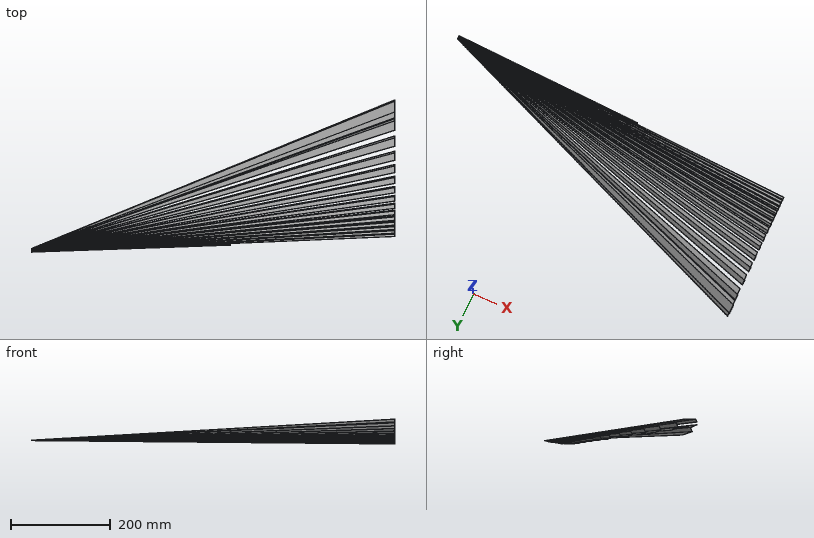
import cadquery as cq
import math


TIP_X = 20.0
LENGTH_END = 750.0
SHEET = 0.3

SLAT_COUNT = 15
SEPARATE_SLATS = 8
INNER_SPAN = 296.8
INNER_RATIO = 0.876
INNER_SHIFT = 14.3
ROW_SLOPE = 0.193
ROW_DROP = 11.05

PLATE_BASE = 2.6
PLATE_GROWTH = 0.068
WEB_RUN_BASE = 0.9
WEB_RUN_GROWTH = 0.0145
WEB_SLOPE = 2.06
LIP_SLOPE = 0.44
LIP_SHARE = 0.67
TILT_FIRST = 0.9
TILT_STEP = 0.62
TILT_GAIN = 0.03

LOWER_PROFILE = [(270.5, 27.8), (293.5, 26.7), (297.5, 18.0), (277.5, 11.0)]

OUTER_TRIM = 306.9 / LENGTH_END
BOTTOM_TRIM = -6.95 / LENGTH_END

SHORT_STRIP_END = 420.0
SHORT_STRIP_WIDTH = 4.0
SHORT_STRIP_TILT = 16.0
ROOT_LENGTH = 0.5
ROOT_OVERHANG = 11.3
TRIM_MARGIN = 50.0


def inner_edge(index):
    y = INNER_SPAN * INNER_RATIO**index - INNER_SHIFT
    return y, ROW_SLOPE * y - ROW_DROP


def tilted(start, width, slope):
    """Point reached from start by moving width along y on a line of the given slope."""
    return start[0] + width, start[1] + width * slope


def slat_profile(index):
    """Fold points at the wide end, from the plate's inner edge to the lip's free edge."""
    inner = inner_edge(index)
    tilt = TILT_FIRST + TILT_STEP * index + TILT_GAIN * index**2
    plate_width = PLATE_BASE + PLATE_GROWTH * inner[0]
    bend = tilted(inner, plate_width, -math.tan(math.radians(tilt)))
    heel = tilted(bend, WEB_RUN_BASE + WEB_RUN_GROWTH * inner[0], -WEB_SLOPE)
    lip_end = tilted(heel, -LIP_SHARE * plate_width, LIP_SLOPE)
    return [inner, bend, heel, lip_end]


def prismatoid(near, far):
    """Solid with flat faces between two matching rings of corners."""
    count = len(near)
    sides = [[near[k - 1], near[k], far[k], far[k - 1]] for k in range(count)]
    faces = [cq.Face.makeFromWires(cq.Wire.makePolygon(ring, close=True)) for ring in (near, far, *sides)]
    return cq.Solid.makeSolid(cq.Shell.makeShell(faces))


def strip(start, end, far_x=LENGTH_END):
    """Flat sheet between the rays through two wide-end points, thickened to the right of start-end."""
    run = end[0] - start[0]
    rise = end[1] - start[1]
    reach = math.hypot(run, rise)
    offset_y = SHEET * rise / reach
    offset_z = -SHEET * run / reach
    sections = []
    for x in (TIP_X, far_x):
        scale = x / LENGTH_END
        edge = [(point[0] * scale, point[1] * scale) for point in (start, end)]
        back = [(y + offset_y, z + offset_z) for y, z in reversed(edge)]
        sections.append([cq.Vector(x, y, z) for y, z in edge + back])
    return prismatoid(*sections)


def folded_strips(profile):
    return [strip(start, end) for start, end in zip(profile, profile[1:])]


def joined(strips):
    first, *others = strips
    return first.fuse(*others)


def trim_wedge(plane, slope, side):
    """Material beyond the trim line of the given slope, on the given side of it."""
    far_x = LENGTH_END + TRIM_MARGIN
    beyond = side * 2 * far_x
    outline = cq.Workplane(plane).polyline([(0, 0), (far_x, far_x * slope), (far_x, beyond), (0, beyond)])
    return outline.close().extrude(far_x, both=True).val()


outer_waste = trim_wedge("XY", OUTER_TRIM, 1)
bottom_waste = trim_wedge("XZ", BOTTOM_TRIM, -1)


def slat(index):
    return joined(folded_strips(slat_profile(index))).cut(outer_waste)


def short_strip():
    inner = inner_edge(SLAT_COUNT)
    outer = tilted(inner, SHORT_STRIP_WIDTH, -math.tan(math.radians(SHORT_STRIP_TILT)))
    return strip(inner, outer, SHORT_STRIP_END)


def comb_root():
    """Short bar at the tip that ties the comb's slats and its short strip together."""
    root_start = tilted(inner_edge(SLAT_COUNT), -ROOT_OVERHANG, ROW_SLOPE)
    root_end = slat_profile(SEPARATE_SLATS)[1]
    return strip(root_start, root_end, TIP_X + ROOT_LENGTH)


def comb():
    strips = [comb_root(), short_strip()]
    for index in range(SEPARATE_SLATS, SLAT_COUNT):
        strips += folded_strips(slat_profile(index))
    return joined(strips).cut(bottom_waste)


slats = [slat(index) for index in range(SEPARATE_SLATS)]
lower_slat = joined(folded_strips(LOWER_PROFILE))
inner_comb = comb()

bodies = [*slats, lower_slat, inner_comb]
result = cq.Compound.makeCompound([solid for body in bodies for solid in body.Solids()])